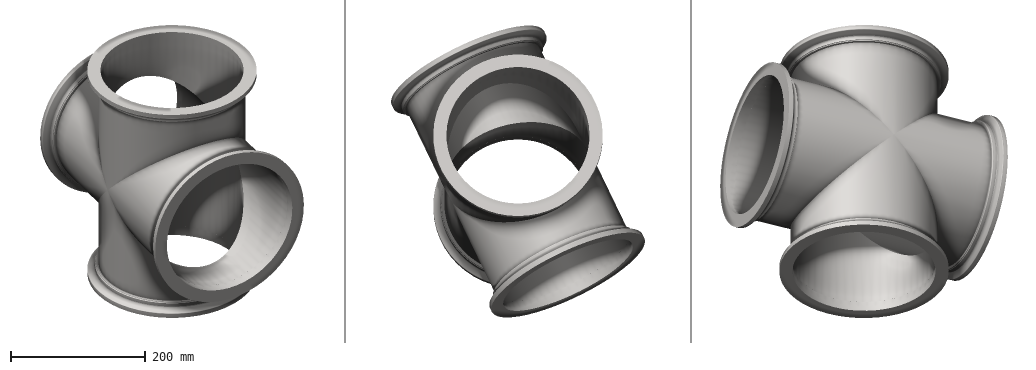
import cadquery as cq

span = 356.0
tube_diameter = 219.0
bore_diameter = 213.0

rim_diameter = 252.0
hub_diameter = 230.0
flange_length = 20.0
rim_thickness = 7.5
cone_length = 4.5
hub_rounding = 1.5
rim_rounding = 1.5
root_rounding = 1.5
socket_depth = 4.3

rim_radius = rim_diameter / 2
hub_radius = hub_diameter / 2
tube_radius = tube_diameter / 2
bore_radius = bore_diameter / 2
tube_end = span / 2 - flange_length + socket_depth

branch_angles = [0, 90, 180, 270]


def crossed_cylinders(radius, half_length):
    """Two equal cylinders crossing at the origin, along Z and along X."""
    upright = cq.Workplane("XY").circle(radius).extrude(half_length, both=True)
    level = cq.Workplane("YZ").circle(radius).extrude(half_length, both=True)
    return upright.union(level)


def make_cross():
    """Hollow four-way cross with mitred tube joints."""
    return crossed_cylinders(tube_radius, tube_end).cut(crossed_cylinders(bore_radius, tube_end))


def make_flange(angle):
    """Flange turned about Z with its face at the top, then swung onto its branch."""
    face = span / 2
    rim_back = face - rim_thickness
    cone_back = rim_back - cone_length
    hub_back = face - flange_length

    section = (
        cq.Workplane("XZ")
        .moveTo(bore_radius, face)
        .lineTo(rim_radius, face)
        .lineTo(rim_radius, rim_back)
        .lineTo(hub_radius, cone_back)
        .lineTo(hub_radius, hub_back + hub_rounding)
        .radiusArc((hub_radius - hub_rounding, hub_back), -hub_rounding)
        .lineTo(tube_radius, hub_back)
        .lineTo(tube_radius, tube_end)
        .lineTo(bore_radius, tube_end)
        .close()
    )
    flange = section.revolve(360, (0, 0, 0), (0, 1, 0))

    flange = flange.edges(cq.NearestToPointSelector((0, 0, rim_back))).fillet(rim_rounding)
    flange = flange.edges(cq.NearestToPointSelector((0, 0, cone_back))).fillet(root_rounding)
    return flange.rotate((0, 0, 0), (0, 1, 0), angle)


cross = make_cross()
flanges = [make_flange(angle) for angle in branch_angles]

result = cq.Compound.makeCompound([cross.val(), *[flange.val() for flange in flanges]])